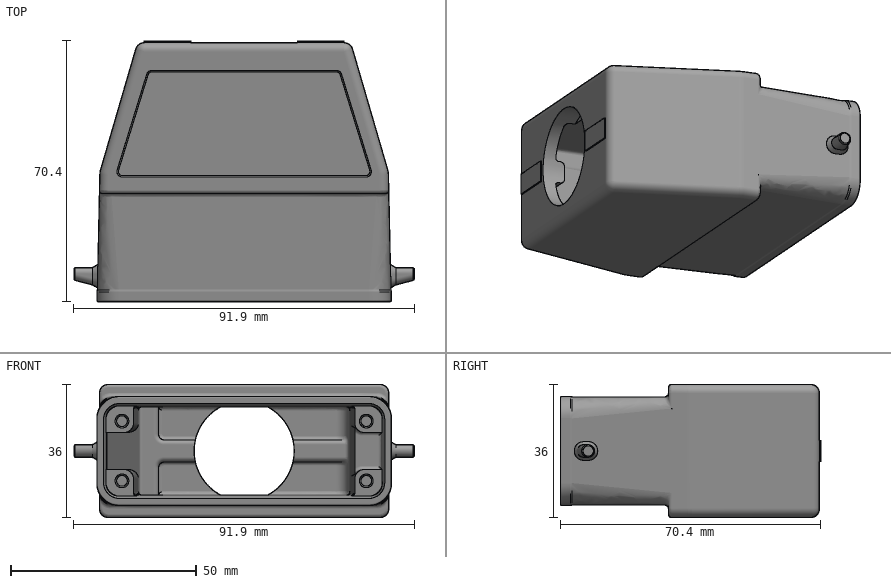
import cadquery as cq
SIDES = (-1, 1)

RIM_HALF_X, RIM_HALF_Z = 39.8, 14.75
RIM_LENGTH = 2.7
RIM_CORNER = 5.9
RIM_EDGE_FILLET = 0.45
RIM_BEVEL_LENGTH = 0.5
BODY_STEP = 0.12
BODY_FRONT = RIM_LENGTH + RIM_BEVEL_LENGTH
BODY_HALF_X, BODY_HALF_Z = RIM_HALF_X - BODY_STEP, RIM_HALF_Z - BODY_STEP
BODY_END = 30.5
BODY_END_CORNER = 3.2

HOOD_FRONT = 29.2
HOOD_KINK = 35.0
HOOD_BACK = 70.0
HOOD_KINK_HALF_X, HOOD_HALF_Z = 39.0, 18.0
HOOD_BACK_HALF_X = 28.8
SIDE_DRAFT = (BODY_HALF_X - HOOD_KINK_HALF_X) / (HOOD_KINK - BODY_FRONT)
HOOD_SLOPE = (HOOD_KINK_HALF_X - HOOD_BACK_HALF_X) / (HOOD_BACK - HOOD_KINK)
HOOD_FILLET = 2.4
KINK_FILLET = 5.0
HOOD_FRONT_FILLET = 0.9
SHOULDER_FILLET = 1.0

PANEL_FRONT, PANEL_BACK = 33.7, 62.5
PANEL_FRONT_HALF_X, PANEL_BACK_HALF_X = 34.9, 26.0
PANEL_WALL_TAPER = 45
PANEL_CORNER = 1.5
PANEL_DEPTH = 0.4

PAD_CENTER_X = 20.7
PAD_LENGTH, PAD_WIDTH = 12.6, 5.7
PAD_HEIGHT = 0.4

LEAD_IN_STRAIGHT = 1.0
LEAD_IN_END = 3.0
LEAD_IN_HALF_X, LEAD_IN_HALF_Z, LEAD_IN_CORNER = 38.0, 12.85, 4.4
CAVITY_HALF_X, CAVITY_HALF_Z, CAVITY_CORNER = 37.35, 12.2, 3.8
CAVITY_KINK = 33.0
CAVITY_KINK_HALF_X = 37.0
CAVITY_BACK = 66.5
CAVITY_BACK_HALF_Z, CAVITY_BACK_CORNER = 11.85, 1.0
CAVITY_END_X = CAVITY_KINK_HALF_X - HOOD_SLOPE * (CAVITY_BACK - CAVITY_KINK)
CABLE_HOLE_DIAMETER = 27.0

RIB_HEIGHT = 2.8
RIB_FACE = CAVITY_BACK - RIB_HEIGHT
RIB_HALF_Z = 3.0
STRIP_EDGE_X = -23.1
RIB_FILLET = 1.3
RIB_CORNER = 1.5
STRIP_FILLET = 0.8
BACK_WALL_FILLET = 1.0
END_WALL_FILLET = 3.0

SCREW_X, SCREW_Z = 33.0, 8.07
SCREW_HOLE_DIAMETER, SCREW_MOUTH_DIAMETER = 2.9, 3.7
SCREW_HOLE_DEPTH = 12.0
COUNTERSINK_TAPER = 45
BOSS_FACE = 15.0
BOSS_INNER_X, BOSS_INNER_Z = 29.9, 5.0
BOSS_BACK_INNER_X = 28.4
BOSS_CORNER = 2.5
BOSS_ROOT_FILLET = 0.8
WEB_FACE = 25.0
WEB_FILLET = 0.9

PIN_TIP_X = 45.97
PIN_ROOT_X = 41.0
PIN_DIAMETER = 3.4
PIN_BACK = 9.25
PIN_ROOT_LENGTH = 4.7
PIN_TIP_LENGTH = PIN_DIAMETER + 0.02
PIN_TIP_CHAMFER = 0.3
COLLAR_X = 39.3
COLLAR_GROWTH = 1.0

PICK = 0.1


def box(x_limits, y_limits, z_limits):
    """Axis-aligned box from its limits."""
    (x0, x1), (y0, y1), (z0, z1) = x_limits, y_limits, z_limits
    block = cq.Workplane("XY").box(x1 - x0, y1 - y0, z1 - z0, centered=False)
    return block.translate((x0, y0, z0))


def edges_near(x_limits, y, half_z):
    """Selector for edges whose centre is in an X range, close to plane Y = y."""
    return cq.selectors.BoxSelector(
        (x_limits[0], y - PICK, -half_z), (x_limits[1], y + PICK, half_z)
    )


def tapered(front_y, front_size, back_y, back_size):
    """Solid lofted along Y between rounded rectangles (half X, half Z, corner radius)."""
    sections = []
    for y, (half_x, half_z, corner) in ((front_y, front_size), (back_y, back_size)):
        sketch = cq.Sketch().rect(2 * half_x, 2 * half_z).vertices().fillet(corner)
        sections.append(sketch.moved(cq.Location(cq.Vector(0, 0, -y))))
    return cq.Workplane("XZ").placeSketch(*sections).loft()


def mirrored_prism(half_outline):
    """Prism along Z whose XY outline is given by its +X half, front to back."""
    other_half = [(-x, y) for x, y in reversed(half_outline)]
    outline = cq.Workplane("XY").polyline(half_outline + other_half).close()
    return outline.extrude(HOOD_HALF_Z, both=True)


def side_half_x(y):
    """Half width of the drafted sides, shared by the body and the front of the hood."""
    return BODY_HALF_X - SIDE_DRAFT * (y - BODY_FRONT)


def make_hood():
    hood = mirrored_prism(
        [
            (side_half_x(HOOD_FRONT), HOOD_FRONT),
            (HOOD_KINK_HALF_X, HOOD_KINK),
            (HOOD_BACK_HALF_X, HOOD_BACK),
        ]
    )
    for side in SIDES:
        kink = cq.selectors.NearestToPointSelector((side * HOOD_KINK_HALF_X, HOOD_KINK, 0))
        hood = hood.edges(kink).fillet(KINK_FILLET)
    hood = hood.faces("|Z or >Y").edges("not <Y").fillet(HOOD_FILLET)
    return hood.faces("<Y").edges().fillet(HOOD_FRONT_FILLET)


def make_body():
    """Mouth rim, the bevel behind it and the drafted body that runs into the hood."""
    rim_size = (RIM_HALF_X, RIM_HALF_Z, RIM_CORNER)
    body_size = (BODY_HALF_X, BODY_HALF_Z, RIM_CORNER)
    end_size = (side_half_x(BODY_END), BODY_HALF_Z, BODY_END_CORNER)
    rim = tapered(0, rim_size, RIM_LENGTH, rim_size).faces("<Y").edges().fillet(RIM_EDGE_FILLET)
    bevel = tapered(RIM_LENGTH, rim_size, BODY_FRONT, body_size)
    body = tapered(BODY_FRONT, body_size, BODY_END, end_size)
    return rim.union(bevel).union(body)


def make_shell():
    """Outer form: hood and body blended at the shoulder."""
    shell = make_hood().union(make_body())
    shoulder_half_x = HOOD_KINK_HALF_X - HOOD_FILLET
    shoulder = edges_near((-shoulder_half_x, shoulder_half_x), HOOD_FRONT, RIM_HALF_Z)
    return shell.edges(shoulder).fillet(SHOULDER_FILLET)


def make_corner_block(face_y):
    """Solid along the +X end of the cavity, from face_y to the back wall."""
    outline = [
        (BOSS_INNER_X, face_y),
        (HOOD_KINK_HALF_X, face_y),
        (HOOD_KINK_HALF_X, CAVITY_BACK),
        (BOSS_BACK_INNER_X, CAVITY_BACK),
    ]
    return cq.Workplane("XY").polyline(outline).close().extrude(HOOD_HALF_Z, both=True)


def make_bosses():
    """Four screw bosses and the web, before they are trimmed to the cavity."""
    upper_half = box((0, HOOD_KINK_HALF_X), (0, CAVITY_BACK), (BOSS_INNER_Z, HOOD_HALF_Z))
    boss = make_corner_block(BOSS_FACE).intersect(upper_half)
    inner_edge = cq.selectors.NearestToPointSelector(
        (BOSS_INNER_X, (BOSS_FACE + CAVITY_BACK) / 2, BOSS_INNER_Z)
    )
    boss = boss.edges(inner_edge).fillet(BOSS_CORNER)
    pair = boss.union(boss.mirror("XY"))
    return pair.union(pair.mirror("YZ")).union(make_corner_block(WEB_FACE))


def make_rib():
    """Rib and strip on the back wall, with the corners between them rounded."""
    rib = box((-HOOD_KINK_HALF_X, HOOD_KINK_HALF_X), (RIB_FACE, CAVITY_BACK), (-RIB_HALF_Z, RIB_HALF_Z))
    strip = box((-HOOD_KINK_HALF_X, STRIP_EDGE_X), (RIB_FACE, CAVITY_BACK), (-HOOD_HALF_Z, HOOD_HALF_Z))
    corners = cq.selectors.BoxSelector(
        (STRIP_EDGE_X - PICK, RIB_FACE, -RIB_HALF_Z - PICK),
        (STRIP_EDGE_X + PICK, CAVITY_BACK, RIB_HALF_Z + PICK),
    )
    return rib.union(strip).edges(corners).fillet(RIB_CORNER)


def make_cavity():
    """Hollow of the part, less the bosses and the rib standing in it."""
    cavity = tapered(
        LEAD_IN_END,
        (CAVITY_HALF_X, CAVITY_HALF_Z, CAVITY_CORNER),
        CAVITY_BACK,
        (CAVITY_KINK_HALF_X, CAVITY_BACK_HALF_Z, CAVITY_BACK_CORNER),
    )
    side_walls = mirrored_prism(
        [
            (RIM_HALF_X, 0),
            (RIM_HALF_X, CAVITY_KINK),
            (CAVITY_KINK_HALF_X, CAVITY_KINK),
            (CAVITY_END_X, CAVITY_BACK),
        ]
    )
    cavity = cavity.intersect(side_walls).cut(make_bosses()).cut(make_rib())
    return round_boss_roots(round_cavity_walls(cavity))


def round_cavity_walls(cavity):
    """Fillets on the back wall, rib, strip and web."""
    end_corner = edges_near((CAVITY_END_X - PICK, BOSS_INNER_X), CAVITY_BACK, CAVITY_HALF_Z)
    rib_edges = edges_near((STRIP_EDGE_X - PICK, CAVITY_END_X), RIB_FACE, CAVITY_BACK_HALF_Z - RIB_HALF_Z)
    back_edges = edges_near((STRIP_EDGE_X - PICK, BOSS_INNER_X), CAVITY_BACK, CAVITY_HALF_Z)
    strip_edge = edges_near((-BOSS_INNER_X, STRIP_EDGE_X - RIB_HEIGHT), RIB_FACE, RIB_HALF_Z)
    web_edges = edges_near(
        (BOSS_INNER_X + WEB_FILLET / 2, CAVITY_HALF_X), WEB_FACE, BOSS_INNER_Z + WEB_FILLET
    )
    fillets = (
        (end_corner, END_WALL_FILLET),
        (rib_edges, RIB_FILLET),
        (back_edges, BACK_WALL_FILLET),
        (strip_edge, STRIP_FILLET),
        (web_edges, WEB_FILLET),
    )
    for edges, radius in fillets:
        cavity = cavity.edges(edges).fillet(radius)
    return cavity


def round_boss_roots(cavity):
    """Fillets where the inner sides of the bosses meet the cavity walls."""
    middle_y = (BOSS_FACE + CAVITY_BACK) / 2
    for side_x in SIDES:
        for side_z in SIDES:
            root = (side_x * BOSS_INNER_X, middle_y, side_z * CAVITY_HALF_Z)
            root_edge = cq.selectors.NearestToPointSelector(root)
            cavity = cavity.edges(root_edge).fillet(BOSS_ROOT_FILLET)
    return cavity


def make_lead_in():
    """Straight recess at the mouth, then a taper down to the cavity."""
    mouth_size = (LEAD_IN_HALF_X, LEAD_IN_HALF_Z, LEAD_IN_CORNER)
    cavity_size = (CAVITY_HALF_X, CAVITY_HALF_Z, CAVITY_CORNER)
    straight = tapered(0, mouth_size, LEAD_IN_STRAIGHT, mouth_size)
    return straight.union(tapered(LEAD_IN_STRAIGHT, mouth_size, LEAD_IN_END, cavity_size))


def make_screw_holes():
    """Countersunk holes running from the boss faces toward the back."""
    countersink_depth = (SCREW_MOUTH_DIAMETER - SCREW_HOLE_DIAMETER) / 2
    centers = [(x * SCREW_X, z * SCREW_Z) for x in SIDES for z in SIDES]
    face = cq.Workplane("XZ", origin=(0, BOSS_FACE, 0)).pushPoints(centers)
    holes = face.circle(SCREW_HOLE_DIAMETER / 2).extrude(-SCREW_HOLE_DEPTH)
    mouths = face.circle(SCREW_MOUTH_DIAMETER / 2).extrude(-countersink_depth, taper=COUNTERSINK_TAPER)
    return holes.union(mouths)


def make_cable_hole():
    back = cq.Workplane("XZ", origin=(0, HOOD_BACK, 0))
    return back.circle(CABLE_HOLE_DIAMETER / 2).extrude(HOOD_BACK - RIB_FACE)


def make_panel():
    """Trapezoid recess with sloping walls."""
    corners = [
        (PANEL_FRONT_HALF_X, PANEL_FRONT),
        (PANEL_BACK_HALF_X, PANEL_BACK),
        (-PANEL_BACK_HALF_X, PANEL_BACK),
        (-PANEL_FRONT_HALF_X, PANEL_FRONT),
    ]
    outline = cq.Sketch().polygon(corners + corners[:1]).vertices().fillet(PANEL_CORNER)
    face = cq.Workplane("XY", origin=(0, 0, HOOD_HALF_Z)).placeSketch(outline)
    return face.extrude(-PANEL_DEPTH, taper=PANEL_WALL_TAPER)


def make_pads():
    pads = cq.Workplane("XZ", origin=(0, HOOD_BACK, 0))
    pads = pads.pushPoints([(side * PAD_CENTER_X, 0) for side in SIDES])
    return pads.rect(PAD_LENGTH, PAD_WIDTH).extrude(-PAD_HEIGHT)


def slot_loft(*slots):
    """Solid lofted along X through slots given as (X, length, width, back end Y)."""
    sections = []
    for x, length, width, back in slots:
        place = cq.Location(cq.Vector(back - length / 2, 0, x))
        sections.append(cq.Sketch().slot(length - width, width).moved(place))
    return cq.Workplane("YZ").placeSketch(*sections).loft()


def make_pin():
    """Pin on the +X side: round at the tip, deeper toward the mouth at its flared root."""
    tip = (PIN_TIP_X, PIN_TIP_LENGTH, PIN_DIAMETER, PIN_BACK)
    root = (PIN_ROOT_X, PIN_ROOT_LENGTH, PIN_DIAMETER, PIN_BACK)
    collar = (
        COLLAR_X,
        PIN_ROOT_LENGTH + 2 * COLLAR_GROWTH,
        PIN_DIAMETER + 2 * COLLAR_GROWTH,
        PIN_BACK + COLLAR_GROWTH,
    )
    pin = slot_loft(root, tip).faces(">X").edges().chamfer(PIN_TIP_CHAMFER)
    return pin.union(slot_loft(collar, root))


pin = make_pin()
result = make_shell().union(pin).union(pin.mirror("YZ")).union(make_pads())
for hollow in (make_cavity(), make_lead_in(), make_screw_holes(), make_cable_hole(), make_panel()):
    result = result.cut(hollow)